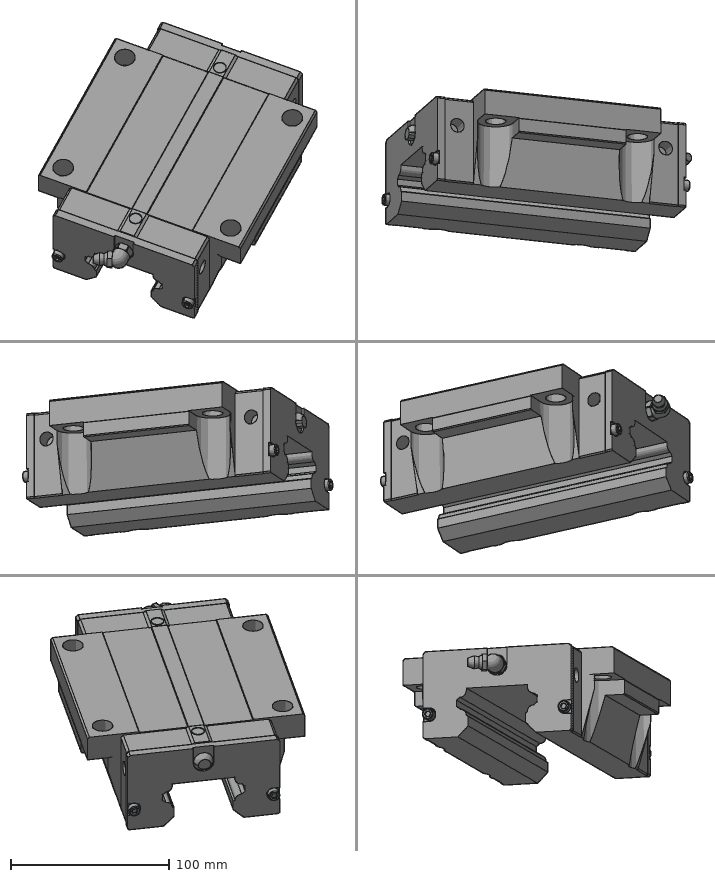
import cadquery as cq
import math

block_width = 140.0
block_length = 118.0
block_height = 57.0
flange_bottom = 30.5
flange_step_height = 39.6
flange_step_inset = 0.5
flange_top_chamfer = 1.2
flange_bottom_chamfer = 0.7
wall_top_half_width = 56.9
wall_bottom_half_width = 48.3

trough_inner_x = 5.0
trough_outer_x = 36.9
trough_depth = 0.4

hole_spacing_x = 116.0
hole_spacing_y = 95.0
hole_diameter = 12.9
pocket_radius = 11.55
pocket_roof = 40.0

channel_roof = 31.0
channel_roof_half_width = 20.25
lip_radius = 4.15
groove_top = 25.4
groove_bottom = 17.8
groove_floor_x = 26.7
groove_chamfer_height = 1.8
throat_half_width = 19.0
throat_top = 12.9
throat_bottom = 6.7
channel_mouth_half_width = 25.8

cap_length = 19.1
cap_width = 97.0
cap_height = 55.8
plate_thickness = 5.25
plate_width = 98.0
plate_height = 56.0
end_top_chamfer = 1.6
end_bottom_chamfer = 0.9
rib_height = 56.85
rib_base_width = 13.4
rib_top_width = 9.6
top_port_diameter = 8.0
top_port_depth = 0.5
top_port_y = 65.0
side_port_diameter = 9.0
side_port_depth = 12.0
side_port_y = 69.8
side_port_z = 37.8

screw_x = 45.0
screw_z = 15.4
screw_head_radius = 3.6
screw_head_chamfer = 0.6
screw_protrusion = 3.0
screw_socket_across_corners = 4.0
screw_socket_depth = 1.5
end_recess_depth = 1.3
screw_recess_radius = 4.3

port_z = 44.9
port_recess_radius = 6.6
elbow_radius = 5.55
elbow_hex_across_flats = 11.1
elbow_hex_corner_radius = 6.25
elbow_hex_chamfer = 0.4
elbow_hex_length = 4.35
elbow_center_y = -90.92
nipple_angle = 22.5
nipple_hex_across_flats = 10.0
nipple_hex_start = 4.1
nipple_hex_end = 7.2
nipple_profile = [(nipple_hex_end, 4.8), (9.3, 3.6), (12.2, 4.1), (16.1, 2.6)]
plug_base_radius = 6.3
plug_tip_radius = 3.9
plug_protrusion = 3.0
plug_bulge_radius = 5.7
plug_bulge_protrusion = 1.2
plug_foot_side_drop = 1.4
plug_foot_drop = 3.1

block_end = block_length / 2
cap_end = block_end + cap_length
plate_end = cap_end + plate_thickness
recess_floor = plate_end - end_recess_depth
flat_to_corner = 2 / math.sqrt(3)


def prism_along_y(sketch, y_start, y_end):
    """Extrude a closed outline drawn in X and Z between two Y positions."""
    return sketch.extrude(y_start - y_end).translate((0, y_start, 0))


def mirrored_outline(right_half):
    """Closed XZ outline from its right half, listed from the centre outward and down."""
    left_half = [(-x, z) for x, z in reversed(right_half)]
    return cq.Workplane("XZ").polyline(right_half + left_half).close()


def both_sides(solid, plane):
    """The solid joined with its mirror image in a plane through the origin."""
    return solid.union(solid.mirror(plane))


def make_block():
    """Flanged carriage with sloped side walls and two shallow troughs along its top."""
    half = block_width / 2
    lower_half = half - flange_step_inset
    outline = mirrored_outline([
        (half - flange_top_chamfer, block_height),
        (half, block_height - flange_top_chamfer),
        (half, flange_step_height),
        (lower_half, flange_step_height),
        (lower_half, flange_bottom + flange_bottom_chamfer),
        (lower_half - flange_bottom_chamfer, flange_bottom),
        (wall_top_half_width, flange_bottom),
        (wall_bottom_half_width, 0),
    ])
    block = prism_along_y(outline, -block_end, block_end)
    trough = prism_along_y(
        cq.Workplane("XZ").polyline([
            (trough_inner_x, block_height),
            (trough_inner_x + trough_depth, block_height - trough_depth),
            (trough_outer_x - trough_depth, block_height - trough_depth),
            (trough_outer_x, block_height),
        ]).close(),
        -block_end,
        block_end,
    )
    return block.cut(both_sides(trough, "YZ"))


def make_mounting_cuts():
    """Four through holes, each above a round pocket that opens to the side of the flange."""
    hole_x = hole_spacing_x / 2
    hole_y = hole_spacing_y / 2
    hole = cq.Workplane("XY").circle(hole_diameter / 2).extrude(block_height)
    pocket = cq.Workplane("XY").circle(pocket_radius).extrude(pocket_roof)
    opening_length = block_width / 2 - hole_x
    opening = cq.Workplane("XY").box(
        opening_length, 2 * pocket_radius, pocket_roof, centered=(False, True, False)
    )
    corner = hole.union(pocket).union(opening).translate((hole_x, hole_y, 0))
    return both_sides(both_sides(corner, "YZ"), "XZ")


def make_end_body(width, height, y_start, y_end):
    """Block with long edges chamfered at the top and bottom."""
    half = width / 2
    outline = mirrored_outline([
        (half - end_top_chamfer, height),
        (half, height - end_top_chamfer),
        (half, end_bottom_chamfer),
        (half - end_bottom_chamfer, 0),
    ])
    return prism_along_y(outline, y_start, y_end)


def make_cap():
    """End cap at the +Y end with its central rib and lubrication ports."""
    cap = make_end_body(cap_width, cap_height, block_end, cap_end)
    rib = prism_along_y(
        mirrored_outline([
            (rib_top_width / 2, rib_height),
            (rib_base_width / 2, cap_height),
        ]),
        block_end,
        cap_end,
    )
    top_port = (
        cq.Workplane("XY", origin=(0, top_port_y, rib_height))
        .circle(top_port_diameter / 2)
        .extrude(-top_port_depth)
    )
    side_port = (
        cq.Workplane("YZ", origin=(cap_width / 2, side_port_y, side_port_z))
        .circle(side_port_diameter / 2)
        .extrude(-side_port_depth)
    )
    return cap.union(rib).cut(top_port).cut(both_sides(side_port, "YZ"))


def make_plate():
    """End plate at the +Y end with recesses for the port and the screws."""
    plate = make_end_body(plate_width, plate_height, cap_end, plate_end)
    port_recess = prism_along_y(
        cq.Workplane("XZ")
        .moveTo(-port_recess_radius, plate_height)
        .lineTo(-port_recess_radius, port_z)
        .threePointArc((0, port_z - port_recess_radius), (port_recess_radius, port_z))
        .lineTo(port_recess_radius, plate_height)
        .close(),
        recess_floor,
        plate_end,
    )
    screw_recess = prism_along_y(
        cq.Workplane("XZ")
        .moveTo(plate_width / 2, screw_z + screw_recess_radius)
        .lineTo(screw_x, screw_z + screw_recess_radius)
        .threePointArc(
            (screw_x - screw_recess_radius, screw_z),
            (screw_x, screw_z - screw_recess_radius),
        )
        .lineTo(plate_width / 2, screw_z - screw_recess_radius)
        .close(),
        recess_floor,
        plate_end,
    )
    return plate.cut(port_recess).cut(both_sides(screw_recess, "YZ"))


def make_screw():
    """Screw head on the +X, +Y corner, seated on the recess floor."""
    head_end = plate_end + screw_protrusion
    head = prism_along_y(
        cq.Workplane("XZ").center(screw_x, screw_z).circle(screw_head_radius),
        recess_floor,
        head_end,
    )
    head = head.faces(">Y").chamfer(screw_head_chamfer)
    socket = prism_along_y(
        cq.Workplane("XZ").center(screw_x, screw_z).polygon(6, screw_socket_across_corners),
        head_end - screw_socket_depth,
        head_end,
    )
    return head.cut(socket)


def make_channel():
    """Rail channel through the whole length: two bulging lips per side with a groove between."""
    lip_reach = lip_radius * math.sqrt(0.5)
    lip_center_x = channel_roof_half_width + lip_radius
    upper_lip_z = groove_top + lip_radius
    lower_lip_z = groove_bottom - lip_radius
    right_half = (
        cq.Workplane("XZ")
        .moveTo(0, channel_roof)
        .lineTo(channel_roof_half_width, channel_roof)
        .lineTo(channel_roof_half_width, upper_lip_z)
        .threePointArc(
            (lip_center_x - lip_reach, upper_lip_z - lip_reach), (lip_center_x, groove_top)
        )
        .lineTo(groove_floor_x, groove_top - groove_chamfer_height)
        .lineTo(groove_floor_x, groove_bottom + groove_chamfer_height)
        .lineTo(lip_center_x, groove_bottom)
        .threePointArc(
            (lip_center_x - lip_reach, lower_lip_z + lip_reach),
            (channel_roof_half_width, lower_lip_z),
        )
        .lineTo(throat_half_width, throat_top)
        .lineTo(throat_half_width, throat_bottom)
        .lineTo(channel_mouth_half_width, 0)
        .lineTo(0, 0)
        .close()
    )
    return both_sides(prism_along_y(right_half, -plate_end, plate_end), "YZ")


def make_nipple():
    """Nipple built along +X from the elbow centre, then turned to its final direction."""
    hexagon = (
        cq.Workplane("YZ", origin=(nipple_hex_start, 0, 0))
        .polygon(6, nipple_hex_across_flats * flat_to_corner)
        .extrude(nipple_hex_end - nipple_hex_start)
    )
    tip_distance = nipple_profile[-1][0]
    inner_radius = nipple_profile[0][1]
    root = [(nipple_hex_start, 0), (nipple_hex_start, inner_radius)]
    stem = (
        cq.Workplane("XY")
        .polyline(root + nipple_profile + [(tip_distance, 0)])
        .close()
        .revolve(360, (0, 0, 0), (1, 0, 0))
    )
    nipple = hexagon.union(stem)
    return nipple.rotate((0, 0, 0), (0, 0, 1), 180 + nipple_angle)


def make_fitting():
    """Elbow grease fitting at the -Y end."""
    hex_end = -recess_floor - elbow_hex_length
    hexagon = prism_along_y(
        cq.Workplane("XZ").polygon(6, elbow_hex_across_flats * flat_to_corner),
        hex_end,
        -recess_floor,
    )
    corner_trim = prism_along_y(
        cq.Workplane("XZ").circle(elbow_hex_corner_radius), hex_end, -recess_floor
    )
    hexagon = hexagon.intersect(corner_trim.edges().chamfer(elbow_hex_chamfer))
    shank = prism_along_y(
        cq.Workplane("XZ").circle(elbow_radius), elbow_center_y, -recess_floor
    )
    ball = cq.Workplane("XY").sphere(elbow_radius).translate((0, elbow_center_y, 0))
    nipple = make_nipple().translate((0, elbow_center_y, 0))
    fitting = hexagon.union(shank).union(ball).union(nipple)
    return fitting.translate((0, 0, port_z))


def make_plug():
    """Plug head at the +Y end: a half dome above its axis, a flat foot with sloped sides below."""
    plug_end = plate_end + plug_protrusion
    dome_outline = (
        cq.Workplane("XY")
        .moveTo(0, recess_floor)
        .lineTo(plug_base_radius, recess_floor)
        .threePointArc(
            (plug_bulge_radius, plate_end + plug_bulge_protrusion), (plug_tip_radius, plug_end)
        )
        .lineTo(0, plug_end)
        .close()
    )
    dome = dome_outline.revolve(180, (0, 0, 0), (0, -1, 0))
    foot_bottom_half_width = plug_tip_radius - (plug_foot_drop - plug_foot_side_drop)
    foot = prism_along_y(
        mirrored_outline([
            (plug_tip_radius, 0),
            (plug_tip_radius, -plug_foot_side_drop),
            (foot_bottom_half_width, -plug_foot_drop),
        ]),
        recess_floor,
        plug_end,
    )
    return dome.union(foot).translate((0, 0, port_z))


carriage = make_block().cut(make_mounting_cuts())
end_assembly = make_cap().union(make_plate())
result = (
    carriage.union(both_sides(end_assembly, "XZ"))
    .cut(make_channel())
    .union(both_sides(both_sides(make_screw(), "YZ"), "XZ"))
    .union(make_fitting())
    .union(make_plug())
)